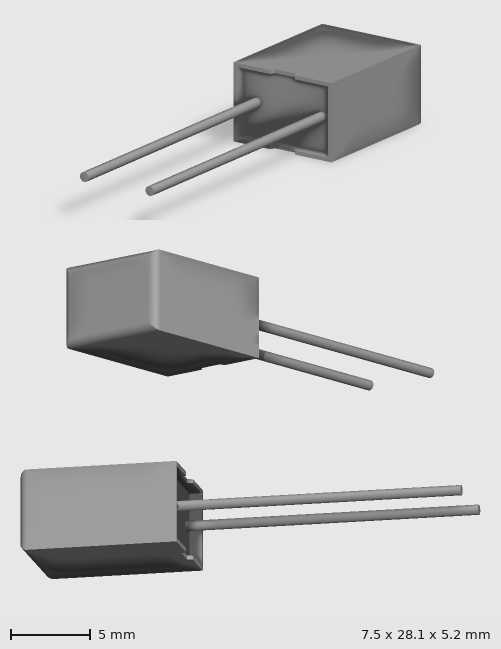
import cadquery as cq

total_length = 28.1
case_width = 7.5
case_height = 5.2
case_length = 10.1
wall = 0.25
back_edge_radius = 0.5
potting_recess = 0.8
notch_mouth_width = 1.9
notch_floor_width = 1.57
notch_depth = 0.35
lead_diameter = 0.65
lead_spacing = 5.0

cavity_depth = case_length - wall
potting_length = cavity_depth - potting_recess
lead_length = total_length - case_length + potting_recess


def block_along_y(width, height, start, length):
    """Box centred on X and Z that runs from Y = start towards +Y."""
    return cq.Workplane("XY").box(width, length, height, centered=(True, False, True)).translate((0, start, 0))


def make_notch_cutter():
    """Tapered notch in the middle of the mouth, cut through both broad walls."""
    return (
        cq.Workplane("XY", origin=(0, 0, -case_height / 2))
        .polyline([
            (-notch_mouth_width / 2, 0),
            (notch_mouth_width / 2, 0),
            (notch_floor_width / 2, notch_depth),
            (-notch_floor_width / 2, notch_depth),
        ])
        .close()
        .extrude(case_height)
    )


def make_case():
    """Open box with rounded back edges and a notched mouth."""
    shell = block_along_y(case_width, case_height, 0, case_length)
    shell = shell.faces(">Y").edges().fillet(back_edge_radius)
    cavity = block_along_y(case_width - 2 * wall, case_height - 2 * wall, 0, cavity_depth)
    return shell.cut(cavity).cut(make_notch_cutter())


def make_potting():
    """Filling of the case cavity, set back from the mouth."""
    return block_along_y(case_width - 2 * wall, case_height - 2 * wall, potting_recess, potting_length)


def make_lead(x):
    """Straight round wire that starts on the potting face and points to -Y."""
    return (
        cq.Workplane("XZ", origin=(x, potting_recess, 0))
        .circle(lead_diameter / 2)
        .extrude(lead_length)
    )


case = make_case()
potting = make_potting()
leads = [make_lead(side * lead_spacing / 2) for side in (-1, 1)]

result = cq.Compound.makeCompound([case.val(), potting.val(), *[lead.val() for lead in leads]])